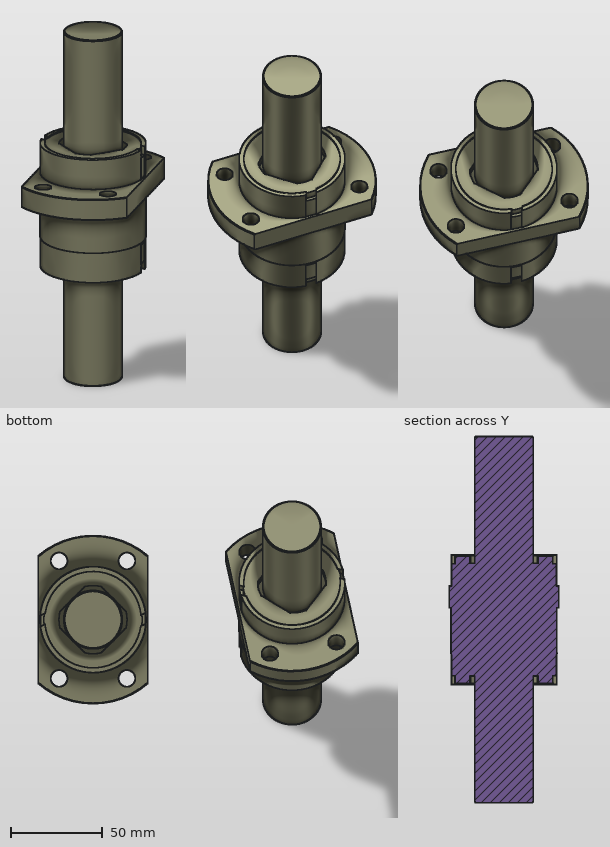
import cadquery as cq
import math

shaft_length = 200.0
shaft_diameter = 32.0
shaft_chamfer = 0.5

cap_diameter = 57.8
body_diameter = 58.0
nut_half_length = 35.5
cap_length = 17.0
cap_base = nut_half_length - cap_length

flange_diameter = 91.8
flange_width = 60.0
flange_thickness = 12.0
flange_chamfer = 0.5
flange_bottom = cap_base - flange_thickness
bolt_circle_diameter = 74.0
bolt_hole_diameter = 9.0
bolt_angle = 60.0

recess_diameter = 52.5
recess_depth = 0.5
opening_diameter = 37.2
opening_across_flats = 31.8
opening_depth = 4.0

slot_width_y = 6.0
slot_center_y = 0.8
slot_skew = 25.0
lower_slot_gap = 1.0
slot_step = 30.5
slot_outer_floor = 28.5
slot_inner_floor = 26.8


def cylinder(diameter, bottom, height):
    return cq.Workplane("XY").workplane(offset=bottom).circle(diameter / 2).extrude(height)


def make_shaft():
    shaft = cylinder(shaft_diameter, -shaft_length / 2, shaft_length)
    return shaft.faces("<Z or >Z").chamfer(shaft_chamfer)


def make_flange():
    disc = cylinder(flange_diameter, flange_bottom, flange_thickness)
    disc = disc.faces("<Z or >Z").chamfer(flange_chamfer)
    flats = (
        cq.Workplane("XY")
        .workplane(offset=flange_bottom)
        .rect(flange_width, flange_diameter)
        .extrude(flange_thickness)
    )
    bolt_x = bolt_circle_diameter / 2 * math.cos(math.radians(bolt_angle))
    bolt_y = bolt_circle_diameter / 2 * math.sin(math.radians(bolt_angle))
    holes = (
        cq.Workplane("XY")
        .workplane(offset=flange_bottom)
        .rect(2 * bolt_x, 2 * bolt_y, forConstruction=True)
        .vertices()
        .circle(bolt_hole_diameter / 2)
        .extrude(flange_thickness)
    )
    return disc.intersect(flats).cut(holes)


def slot_prism(bottom, top):
    """Skewed bar crossing the rim on the -X side."""
    outer_x = -cap_diameter / 2
    run = slot_width_y
    rise = run * math.tan(math.radians(slot_skew))
    high_y = slot_center_y + slot_width_y / 2
    low_y = slot_center_y - slot_width_y / 2
    return (
        cq.Workplane("XY")
        .workplane(offset=bottom)
        .polyline([
            (outer_x - run, high_y + rise),
            (outer_x + run, high_y - rise),
            (outer_x + run, low_y - rise),
            (outer_x - run, low_y + rise),
        ])
        .close()
        .extrude(top - bottom)
    )


def slot_cutter(slot_base):
    """Shallow slot that deepens near the end face and opens into the recess."""
    recess_floor = nut_half_length - recess_depth
    shallow = slot_prism(slot_base, slot_step).cut(
        cylinder(2 * slot_outer_floor, slot_base, cap_length)
    )
    deep = slot_prism(slot_step, recess_floor).cut(
        cylinder(2 * slot_inner_floor, slot_step, cap_length)
    )
    mouth = slot_prism(recess_floor, nut_half_length)
    return shallow.union(deep).union(mouth)


def make_cap(slot_gap):
    cap = cylinder(cap_diameter, cap_base, cap_length)
    recess_floor = nut_half_length - recess_depth
    cap = cap.cut(cylinder(recess_diameter, recess_floor, recess_depth))
    opening_bottom = recess_floor - opening_depth
    square = (
        cq.Workplane("XY")
        .workplane(offset=opening_bottom)
        .rect(opening_across_flats, opening_across_flats)
        .extrude(opening_depth)
        .rotate((0, 0, 0), (0, 0, 1), 45)
    )
    cap = cap.cut(cylinder(opening_diameter, opening_bottom, opening_depth).intersect(square))
    slot = slot_cutter(cap_base + slot_gap)
    for angle in (0, 180):
        cap = cap.cut(slot.rotate((0, 0, 0), (0, 0, 1), angle))
    return cap


upper_cap = make_cap(0)
lower_cap = make_cap(lower_slot_gap).mirror("XY")
body = cylinder(body_diameter, -cap_base, 2 * cap_base - flange_thickness)

result = make_flange().union(body).union(upper_cap).union(lower_cap).union(make_shaft())